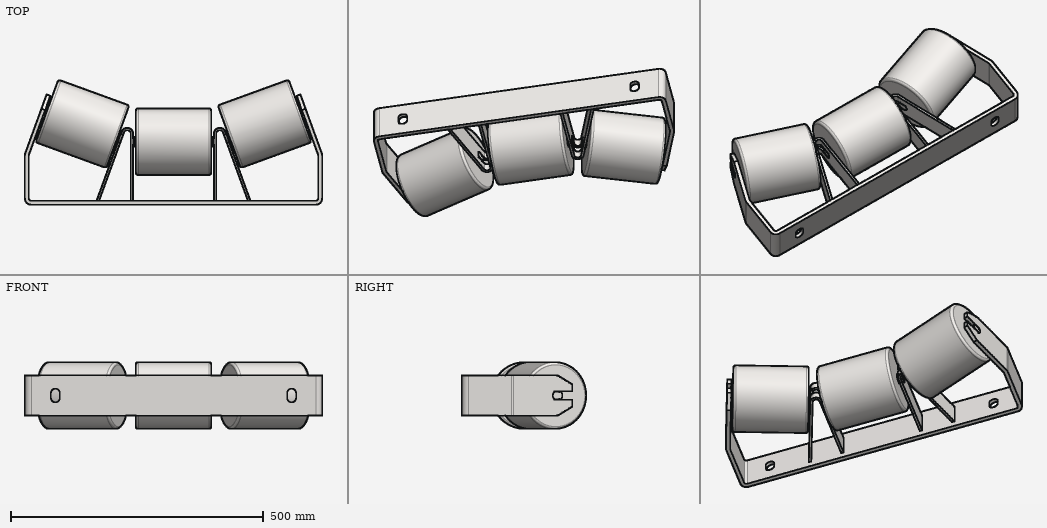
import cadquery as cq
import math


ROLLER_DIAMETER = 133.0
ROLLER_LENGTH = 150.0
ROLLER_EDGE_RADIUS = 5.0
CENTER_ROLLER_GAP = 5.0
OUTER_ROLLER_GAP = 3.5
SHAFT_DIAMETER = 20.0
COLLAR_LENGTH = 2.65
SHAFT_FLAT_WIDTH = 14.0
TILT = 20.0
CENTER_ROLLER_Y = 125.0
OUTER_ROLLER_Y = 160.5

BRACKET_LENGTH = 590.0
STRIP_HEIGHT = 80.0
STRIP_THICKNESS = 8.0
STRIP_BEND_RADIUS = 13.0
ARM_TIP_Y = 219.0
ARM_TIP_HEIGHT = 45.5
ARM_TAPER_LENGTH = 30.0
MOUNT_SLOT_X = 234.0
MOUNT_SLOT_WIDTH = 17.5
MOUNT_SLOT_HEIGHT = 27.0

DIVIDER_THICKNESS = 5.0
DIVIDER_HEIGHT = 51.0
DIVIDER_BEND_RADIUS = 12.0
DIVIDER_BEND_Y = 141.0

SHAFT_SLOT_WIDTH = 16.0

SIN_TILT = math.sin(math.radians(TILT))
COS_TILT = math.cos(math.radians(TILT))
AXIS = cq.Vector(COS_TILT, -SIN_TILT)
UP_PLATE = cq.Vector(SIN_TILT, COS_TILT)

CENTER_PLATE_OFFSET = ROLLER_LENGTH / 2 + CENTER_ROLLER_GAP
OUTER_PLATE_OFFSET = ROLLER_LENGTH / 2 + OUTER_ROLLER_GAP

fold_center = cq.Vector(-CENTER_PLATE_OFFSET - DIVIDER_BEND_RADIUS, DIVIDER_BEND_Y)
fold_to_roller = OUTER_PLATE_OFFSET + DIVIDER_BEND_RADIUS
outer_roller_x = fold_center.x - (fold_to_roller - (OUTER_ROLLER_Y - DIVIDER_BEND_Y) * SIN_TILT) / COS_TILT
outer_roller_center = cq.Vector(outer_roller_x, OUTER_ROLLER_Y)
center_roller_center = cq.Vector(0, CENTER_ROLLER_Y)


def mirrored(shape):
    """The same body on the right-hand side."""
    return shape.mirror("YZ")


def tilted_point(start, along_axis, up_plate):
    """Point offset from start in the directions of the left outer roller."""
    return start + AXIS * along_axis + UP_PLATE * up_plate


def extruded(outline, height):
    """Extrude an XY sketch symmetrically about Z = 0."""
    return outline.close().extrude(height / 2, both=True)


def shaft_slot(center, axis_angle, depth, open_length):
    """Cutter for an open slot, seated on the shaft circle and cut from center along the shaft."""
    bottom = -SHAFT_DIAMETER / 2
    half_width = SHAFT_SLOT_WIDTH / 2
    shoulder = -math.sqrt(bottom**2 - half_width**2)
    cutter = (
        cq.Workplane("YZ")
        .moveTo(open_length, half_width)
        .lineTo(shoulder, half_width)
        .threePointArc((bottom, 0), (shoulder, -half_width))
        .lineTo(open_length, -half_width)
        .close()
        .extrude(depth)
    )
    return cutter.rotate((0, 0, 0), (0, 0, 1), axis_angle).translate(center)


def axial_circle(diameter, left, right):
    """Cylinder along X between two distances from the middle."""
    return cq.Workplane("YZ").workplane(offset=-left).circle(diameter / 2).extrude(left + right)


def make_roller(left_reach, right_reach):
    """Roller along X with its shaft, which ends at the given reaches from the middle."""
    half_length = ROLLER_LENGTH / 2
    body = axial_circle(ROLLER_DIAMETER, half_length, half_length).edges("%CIRCLE").fillet(ROLLER_EDGE_RADIUS)
    collar_reach = half_length + COLLAR_LENGTH
    collar = axial_circle(SHAFT_DIAMETER, collar_reach, collar_reach)
    flats = (
        cq.Workplane("YZ")
        .workplane(offset=-left_reach)
        .rect(SHAFT_DIAMETER, SHAFT_FLAT_WIDTH)
        .extrude(left_reach + right_reach)
    )
    shaft = axial_circle(SHAFT_DIAMETER, left_reach, right_reach).intersect(flats)
    return body.union(collar).union(shaft)


def make_bracket():
    half_length = BRACKET_LENGTH / 2
    arm_face = tilted_point(outer_roller_center, -OUTER_PLATE_OFFSET - STRIP_THICKNESS, 0)
    bend = cq.Vector(-half_length, arm_face.y - (arm_face.x + half_length) * COS_TILT / SIN_TILT)
    arm_length = (ARM_TIP_Y - bend.y) / COS_TILT
    tip = tilted_point(bend, 0, arm_length)
    inner_tip = tilted_point(tip, STRIP_THICKNESS, 0)
    inner_bend = bend + cq.Vector(STRIP_THICKNESS, -STRIP_THICKNESS * math.tan(math.radians(TILT / 2)))
    inner_corner = cq.Vector(-half_length + STRIP_THICKNESS, STRIP_THICKNESS)
    outline_points = [
        cq.Vector(0, 0),
        cq.Vector(-half_length, 0),
        bend,
        tip,
        inner_tip,
        inner_bend,
        inner_corner,
        cq.Vector(0, STRIP_THICKNESS),
    ]
    half = extruded(cq.Workplane("XY").polyline([p.toTuple()[:2] for p in outline_points]), STRIP_HEIGHT)

    inner_radius = STRIP_BEND_RADIUS - STRIP_THICKNESS
    for corner, radius in (
        (cq.Vector(-half_length, 0), STRIP_BEND_RADIUS),
        (bend, STRIP_BEND_RADIUS),
        (inner_corner, inner_radius),
        (inner_bend, inner_radius),
    ):
        half = half.edges(cq.NearestToPointSelector(corner.toTuple())).fillet(radius)

    half = half.cut(arm_tapers(tip))
    slot_length = (tip - arm_face).Length
    half = half.cut(shaft_slot(arm_face, -TILT, STRIP_THICKNESS, slot_length))
    half = half.cut(mount_slot())
    return half.union(mirrored(half))


def arm_tapers(tip):
    """Cutter for the two tapered corners of the left arm tip."""
    plane = cq.Plane(origin=tip.toTuple(), xDir=UP_PLATE.toTuple(), normal=AXIS.toTuple())
    corners = cq.Workplane(plane)
    for side in (1, -1):
        corners = corners.polyline(
            [
                (0, side * ARM_TIP_HEIGHT / 2),
                (0, side * STRIP_HEIGHT / 2),
                (-ARM_TAPER_LENGTH, side * STRIP_HEIGHT / 2),
            ]
        ).close()
    return corners.extrude(STRIP_THICKNESS)


def mount_slot():
    """Cutter for the left mounting slot in the base."""
    return (
        cq.Workplane("XZ")
        .center(-MOUNT_SLOT_X, 0)
        .slot2D(MOUNT_SLOT_HEIGHT, MOUNT_SLOT_WIDTH, 90)
        .extrude(-STRIP_THICKNESS)
    )


def make_divider():
    """Left divider: a straight leg and a tilted leg joined by a round fold."""

    def fold_points(radius):
        """Tilted-leg foot, fold start, fold middle, fold end and straight-leg foot."""
        start = tilted_point(fold_center, -radius, 0)
        foot = tilted_point(start, 0, (STRIP_THICKNESS - start.y) / COS_TILT)
        middle_angle = math.radians(90 - TILT / 2)
        middle = fold_center + cq.Vector(math.cos(middle_angle), math.sin(middle_angle)) * radius
        end = fold_center + cq.Vector(radius, 0)
        straight_foot = cq.Vector(end.x, STRIP_THICKNESS)
        return [p.toTuple()[:2] for p in (foot, start, middle, end, straight_foot)]

    outside = fold_points(DIVIDER_BEND_RADIUS)
    inside = fold_points(DIVIDER_BEND_RADIUS - DIVIDER_THICKNESS)
    outline = (
        cq.Workplane("XY")
        .moveTo(*outside[0])
        .lineTo(*outside[1])
        .threePointArc(outside[2], outside[3])
        .lineTo(*outside[4])
        .lineTo(*inside[4])
        .lineTo(*inside[3])
        .threePointArc(inside[2], inside[1])
        .lineTo(*inside[0])
    )
    divider = extruded(outline, DIVIDER_HEIGHT)

    slot_length = DIVIDER_BEND_Y + DIVIDER_BEND_RADIUS - CENTER_ROLLER_Y
    straight_seat = cq.Vector(-CENTER_PLATE_OFFSET - DIVIDER_BEND_RADIUS, CENTER_ROLLER_Y)
    tilted_seat = tilted_point(outer_roller_center, OUTER_PLATE_OFFSET, 0)
    return (
        divider
        .cut(shaft_slot(straight_seat, 0, DIVIDER_BEND_RADIUS, slot_length))
        .cut(shaft_slot(tilted_seat, -TILT, DIVIDER_BEND_RADIUS, slot_length))
    )


bracket = make_bracket()
left_divider = make_divider()

center_reach = CENTER_PLATE_OFFSET + DIVIDER_THICKNESS
center_roller = make_roller(center_reach, center_reach).translate(center_roller_center)

arm_reach = OUTER_PLATE_OFFSET + STRIP_THICKNESS
divider_reach = OUTER_PLATE_OFFSET + DIVIDER_THICKNESS
left_roller = (
    make_roller(arm_reach, divider_reach)
    .rotate((0, 0, 0), (0, 0, 1), -TILT)
    .translate(outer_roller_center)
)

bodies = [bracket, center_roller]
for left_body in (left_divider, left_roller):
    bodies += [left_body, mirrored(left_body)]

result = cq.Compound.makeCompound([body.val() for body in bodies])